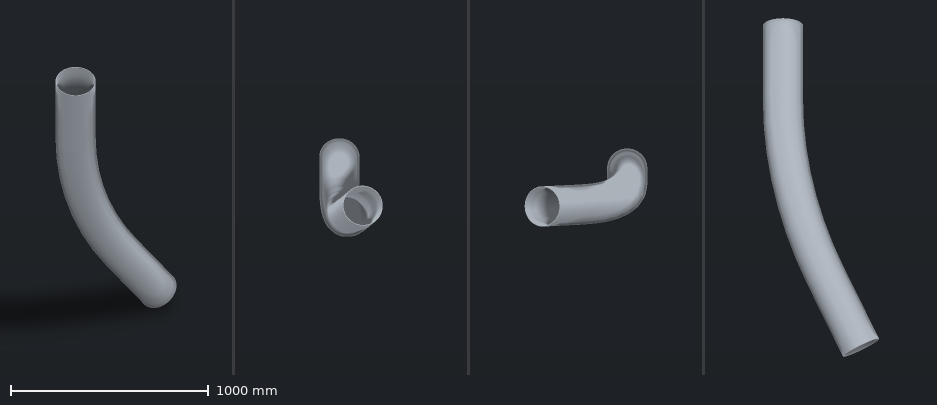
import cadquery as cq
import math

outer_diameter = 203.2
inner_diameter = 197.1
bend_angle = 30.0
bend_radius = 9 * outer_diameter
straight_length = 2 * outer_diameter

bend_radians = math.radians(bend_angle)


def bend_point(angle):
    """Centreline point (y, z) reached after turning through an angle in radians."""
    return (bend_radius * (1 - math.cos(angle)), -bend_radius * math.sin(angle))


bend_middle = bend_point(bend_radians / 2)
bend_end = bend_point(bend_radians)
lower_end = (
    bend_end[0] + straight_length * math.sin(bend_radians),
    bend_end[1] - straight_length * math.cos(bend_radians),
)


def make_centreline():
    """Upper straight, circular bend and lower straight, from top to bottom."""
    return (
        cq.Workplane("YZ")
        .moveTo(0, straight_length)
        .lineTo(0, 0)
        .threePointArc(bend_middle, bend_end)
        .lineTo(*lower_end)
    )


def make_pipe():
    """Ring-shaped section swept along the centreline."""
    section = (
        cq.Workplane("XY", origin=(0, 0, straight_length))
        .circle(outer_diameter / 2)
        .circle(inner_diameter / 2)
    )
    return section.sweep(make_centreline())


result = make_pipe()